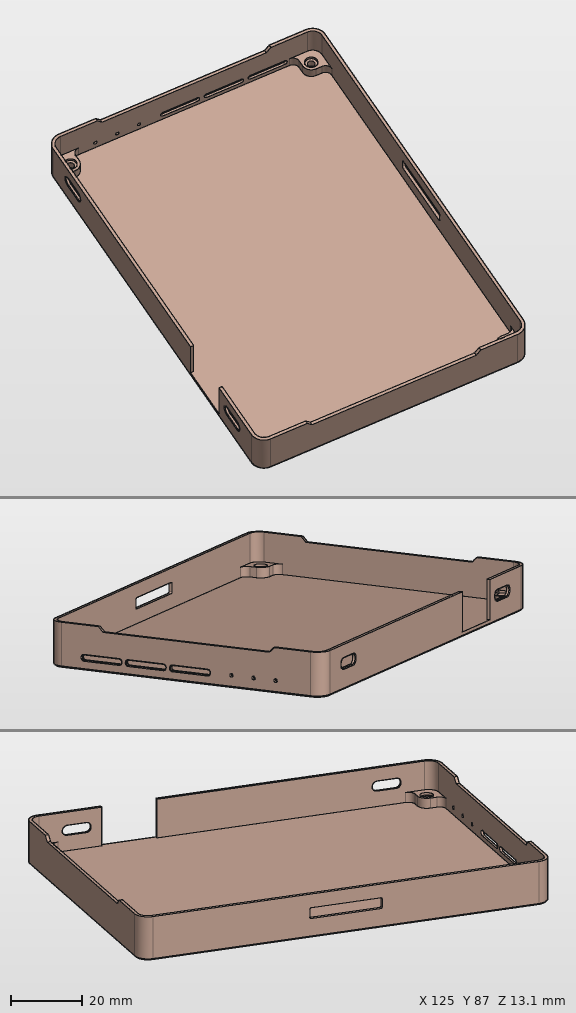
import cadquery as cq

length = 125.0
width = 87.0
height = 13.1
wall = 1.0
floor = 1.5
corner_radius = 4.0
bottom_chamfer = 0.5

boss_height = 3.0
boss_inset = 5.0
boss_radius = 2.8
boss_root_fillet = 2.0
screw_diameter = 2.1
screw_seat_diameter = 3.8
screw_seat_depth = 0.8

notch_depth = 1.5
notch_bottom_width = 52.5
notch_top_width = notch_bottom_width + 2 * notch_depth

slot_chamfer = 0.2

opening_width = 16.8
opening_x = 31.0
front_slot_length = 8.8
front_slot_height = 3.0
front_slot_x = 47.0
front_slot_z = 7.6

back_slot_length = 22.0
back_slot_height = 3.2
back_slot_corner_radius = 0.5
back_slot_z = 7.4

vent_z = 3.6
vent_slot_length = 12.5
vent_slot_height = 1.5
vent_slot_pitch = 14.0
vent_slot_count = 3
first_vent_slot_y = 26.8
pin_hole_diameter = 1.0
pin_hole_pitch = 7.0
pin_hole_count = 3
first_pin_hole_y = -14.4

inner_length = length - 2 * wall
inner_width = width - 2 * wall
inner_corner_radius = corner_radius - wall

front_face = cq.Workplane(cq.Plane((0, -width / 2, 0), xDir=(-1, 0, 0), normal=(0, 1, 0)))
left_face = cq.Workplane(cq.Plane((-length / 2, 0, 0), xDir=(0, 1, 0), normal=(1, 0, 0)))


def plain_block(size_x, size_y, base_z, block_height):
    """A block centred on the Z axis, standing on the given level."""
    return cq.Workplane("XY", origin=(0, 0, base_z)).box(
        size_x, size_y, block_height, centered=(True, True, False)
    )


def cavity_block(block_height):
    """A block with the outline of the tray's inside, standing on the floor."""
    block = plain_block(inner_length, inner_width, floor, block_height)
    return block.edges("|Z").fillet(inner_corner_radius)


def make_tray():
    body = plain_block(length, width, 0, height).edges("|Z").fillet(corner_radius)
    body = body.faces("<Z").edges().chamfer(bottom_chamfer)
    return body.cut(cavity_block(height - floor))


def make_bosses():
    """Corner pads: the inside outline less a cross-shaped clear area with rounded corners."""
    pad_size = boss_inset + boss_radius
    clear_x = length - 2 * pad_size
    clear_y = width - 2 * pad_size
    cross = plain_block(inner_length, clear_y, floor, boss_height)
    cross = cross.union(plain_block(clear_x, inner_width, floor, boss_height))
    inside_corners = cq.selectors.BoxSelector(
        (-clear_x / 2 - wall, -clear_y / 2 - wall, 0),
        (clear_x / 2 + wall, clear_y / 2 + wall, height),
    )
    cross = cross.edges("|Z").edges(inside_corners).fillet(boss_radius)
    cross = cross.edges("|Z").edges("<X or >X or <Y or >Y").fillet(boss_root_fillet)
    return cavity_block(boss_height).cut(cross)


def screw_holes():
    """A wide seat at each boss top over a narrow hole down to the floor."""
    boss_x = length / 2 - boss_inset
    boss_y = width / 2 - boss_inset
    centres = [(side_x * boss_x, side_y * boss_y) for side_x in (-1, 1) for side_y in (-1, 1)]
    boss_top = cq.Workplane("XY", origin=(0, 0, floor + boss_height)).pushPoints(centres)
    narrow = boss_top.circle(screw_diameter / 2).extrude(-boss_height)
    seat = boss_top.circle(screw_seat_diameter / 2).extrude(-screw_seat_depth)
    return narrow.union(seat)


def end_wall_notches():
    """One bar along X that notches both end wall rims."""
    notch_z = height - notch_depth
    return (
        cq.Workplane("YZ")
        .moveTo(-notch_top_width / 2, height)
        .lineTo(-notch_bottom_width / 2, notch_z)
        .lineTo(notch_bottom_width / 2, notch_z)
        .lineTo(notch_top_width / 2, height)
        .close()
        .extrude(length / 2, both=True)
    )


def chamfered_slots(wall_face, centres, slot_length, slot_height):
    """Round-ended slots through a wall, widened by a chamfer at the outer mouth."""
    placed = wall_face.pushPoints(centres)
    mouth_length = slot_length + 2 * slot_chamfer
    mouth_height = slot_height + 2 * slot_chamfer
    through = placed.slot2D(slot_length, slot_height).extrude(wall)
    mouth = placed.slot2D(mouth_length, mouth_height).extrude(slot_chamfer, taper=45)
    return through.union(mouth)


def front_opening():
    return (
        cq.Workplane("XY", origin=(opening_x, -width / 2, floor))
        .box(opening_width, wall, height, centered=(True, False, False))
    )


def front_slots():
    centres = [(side * front_slot_x, front_slot_z) for side in (-1, 1)]
    return chamfered_slots(front_face, centres, front_slot_length, front_slot_height)


def back_slot():
    return (
        cq.Workplane("XZ", origin=(0, width / 2, back_slot_z))
        .rect(back_slot_length, back_slot_height)
        .extrude(wall)
        .edges("|Y")
        .fillet(back_slot_corner_radius)
    )


def vent_slots():
    centres = [(first_vent_slot_y - i * vent_slot_pitch, vent_z) for i in range(vent_slot_count)]
    return chamfered_slots(left_face, centres, vent_slot_length, vent_slot_height)


def pin_holes():
    centres = [(first_pin_hole_y - i * pin_hole_pitch, vent_z) for i in range(pin_hole_count)]
    return left_face.pushPoints(centres).circle(pin_hole_diameter / 2).extrude(wall)


result = (
    make_tray()
    .union(make_bosses())
    .cut(screw_holes())
    .cut(end_wall_notches())
    .cut(front_opening())
    .cut(front_slots())
    .cut(back_slot())
    .cut(vent_slots())
    .cut(pin_holes())
)